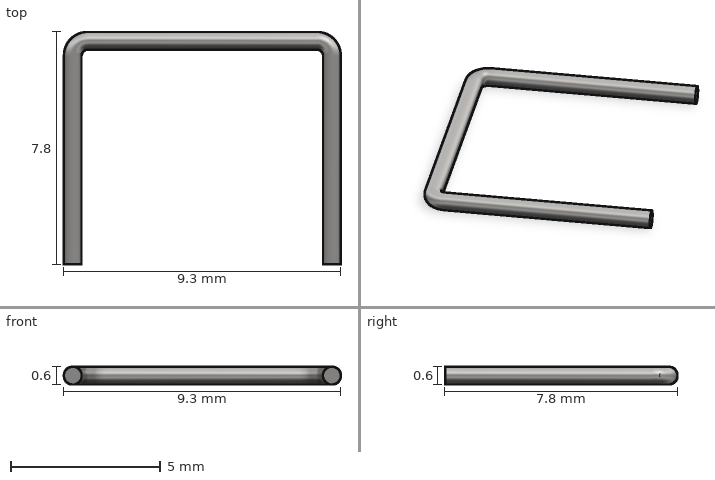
import cadquery as cq
import math

outer_width = 9.3
outer_depth = 7.8
wire_diameter = 0.6
bend_radius = 0.5

wire_radius = wire_diameter / 2
leg_x = outer_width / 2 - wire_radius
back_y = outer_depth / 2 - wire_radius
leg_end_y = -outer_depth / 2
bend_start_y = back_y - bend_radius
bend_end_x = leg_x - bend_radius

bend_mid_offset = bend_radius * math.cos(math.radians(45))
bend_mid_x = bend_end_x + bend_mid_offset
bend_mid_y = bend_start_y + bend_mid_offset

centreline = (
    cq.Workplane("XY")
    .moveTo(-leg_x, leg_end_y)
    .lineTo(-leg_x, bend_start_y)
    .threePointArc((-bend_mid_x, bend_mid_y), (-bend_end_x, back_y))
    .lineTo(bend_end_x, back_y)
    .threePointArc((bend_mid_x, bend_mid_y), (leg_x, bend_start_y))
    .lineTo(leg_x, leg_end_y)
)

result = (
    cq.Workplane("XZ", origin=(-leg_x, leg_end_y, 0))
    .circle(wire_radius)
    .sweep(centreline)
)